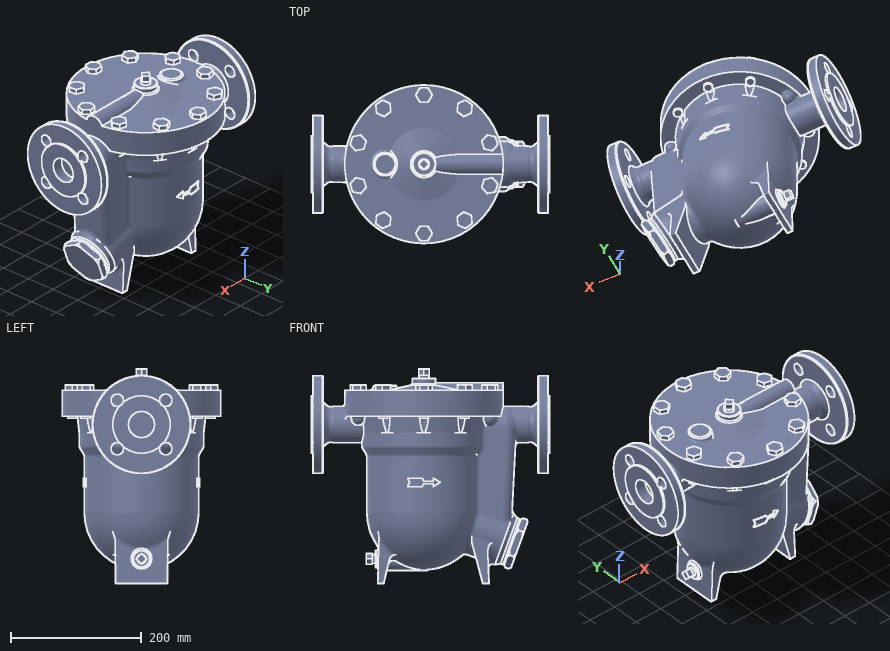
import cadquery as cq
import math


pipe_length = 366.0
pipe_mid_x = 10.0
pipe_dia = 56.0
bore_dia = 40.0
flange_dia = 150.0
flange_rim_step = 1.0
flange_thick = 14.0
flange_rim_thick = 2.0
raised_face_dia = 88.0
raised_face_height = 3.0
bore_depth = raised_face_height + flange_thick + flange_rim_thick
flange_bolt_circle = 105.0
flange_hole_dia = 19.0
flange_hole_count = 4
hub_root_radius = 34.0
hub_mid_radius = 30.0
hub_root_length = 4.5
hub_length = 15.0

body_radius = 88.0
neck_radius = 95.5
neck_top_radius = 98.7
cover_dia = 243.0
cover_radius = cover_dia / 2
cover_thick = 20.0
cover_top_z = 52.6
split_z = cover_top_z - cover_thick
body_flange_bottom_z = split_z - cover_thick
neck_mid_z = -12.9
neck_bottom_z = -34.5
shoulder_bottom_z = -47.0
shoulder_fillet = 6.0
dome_centre_z = -134.8

bolt_count = 10
bolt_circle_radius = 106.0
bolt_hex_across_flats = 22.0
bolt_head_height = 8.0
bolt_chamfer = 0.8
bolt_dia = 14.0
bolt_tip_length = 3.3
spotface_dia = 21.0
nozzle_lug_radius = 10.5
nozzle_lug_straight = 3.5
nozzle_lug_fillet = 3.0
body_flange_fillet = 4.0

cone_base_radius = 55.7
cone_top_radius = 20.5
cone_top_z = 60.3
collar_dia = 36.0
collar_base_z = 62.4
collar_top_z = 71.0
collar_chamfer = 1.0
plug_square = 11.84
plug_square_length = 9.5
vent_plug_dia = 16.0
vent_plug_top_z = 85.3
pad_x = -59.6
pad_dia = 36.0
pad_top_z = 60.5
pad_chamfer = 2.5
pad_base_radius = 24.0
bypass_radius = 16.0
bypass_top_z = 64.3

riser_half_width = 35.0
riser_arch_z = -6.8
riser_end_x = 141.6
riser_taper_deg = 2.9
riser_bottom_z = -165.0
riser_end_fillet = 15.0
riser_root_fillet = 8.0
outlet_root_fillet = 5.0

cleanout_tilt_deg = 20.0
cleanout_end_x = 133.7
cleanout_end_z = -179.5
cleanout_radius = 42.0
cleanout_rim_dia = 75.0
cleanout_rim_length = 4.0
cleanout_taper_length = 7.4
cleanout_root_depth = 75.0
cleanout_hex_across_flats = 70.0
cleanout_hex_height = 11.5
cleanout_hex_chamfer = 3.0
cleanout_washer_dia = 66.0
cleanout_washer_height = 2.0
cleanout_root_fillet = 8.0

foot_bottom_z = -243.8
inlet_foot_top_z = -165.0
foot_width = 80.0
foot_corner = 2.0
inlet_foot_root_fillet = 8.0
outlet_foot_root_fillet = 6.0
outlet_foot_mid_x = 92.0

drain_z = -205.8
drain_boss_dia = 36.0
drain_boss_end_x = 5.0
drain_collar_dia = 26.68
drain_collar_end_x = -74.7
drain_collar_chamfer = 1.0
drain_collar_flare = 2.5
drain_plug_dia = 14.0
drain_plug_end_x = -88.7
foot_outer_x = -71.0
foot_outer_slope = 2.5 / 79

arrow_length = 50.0
arrow_half_height = 6.6
arrow_stem_half_height = 2.0
arrow_tail_length = 25.0
arrow_head_length = 11.0
arrow_notch = 3.0
arrow_z = -88.6
arrow_raise = 1.2


def cylinder_z(radius, z_low, z_high, x=0.0, y=0.0):
    return cq.Workplane("XY", origin=(x, y, z_low)).circle(radius).extrude(z_high - z_low)


def cylinder_x(radius, x_low, x_high, z):
    return cq.Workplane("YZ", origin=(x_low, 0, z)).circle(radius).extrude(x_high - x_low)


def lies_on(face, box, point):
    """Whether a point lies on a face, checking the face's bounding box first."""
    touch = 0.01
    x, y, z = point.toTuple()
    inside = (
        box.xmin - touch < x < box.xmax + touch
        and box.ymin - touch < y < box.ymax + touch
        and box.zmin - touch < z < box.zmax + touch
    )
    return inside and face.distance(point) < touch


def seam_edges(solid, first, second, beyond_x=-math.inf):
    """Edges of a union that lie on faces of both of its parts, with centres past beyond_x."""
    sample = 0.37
    part_faces = [[(face, face.BoundingBox()) for face in part.faces().vals()] for part in (first, second)]
    seam = []
    for edge in solid.edges().vals():
        point = cq.Vertex.makeVertex(*edge.positionAt(sample).toTuple())
        on_both = all(any(lies_on(face, box, point) for face, box in faces) for faces in part_faces)
        if on_both and edge.Center().x > beyond_x:
            seam.append(edge)
    return seam


def fillet_edges(solid, edges, radius):
    return solid.newObject(edges).fillet(radius)


def gather(shapes):
    """Separate shapes as one compound, to be joined or cut in a single step."""
    return cq.Workplane(cq.Compound.makeCompound([shape.val() for shape in shapes]))


def hexagon(across_flats, height, chamfer, both_ends=False):
    """Hexagon along +Z from the origin, its corners turned off by a cone at the top."""
    corner_radius = across_flats / math.sqrt(3)
    prism = cq.Workplane("XY").polygon(6, 2 * corner_radius).extrude(height)
    turned = cq.Workplane("XY").circle(corner_radius).extrude(height).faces(">Z").chamfer(chamfer)
    if both_ends:
        turned = turned.faces("<Z").chamfer(chamfer)
    return prism.intersect(turned)


def make_body():
    """Neck, cylinder and hemispherical bottom, revolved about Z."""
    dome_mid = body_radius * math.sqrt(0.5)
    profile = (
        cq.Workplane("XZ")
        .moveTo(0, body_flange_bottom_z)
        .lineTo(neck_top_radius, body_flange_bottom_z)
        .lineTo(neck_radius, neck_mid_z)
        .lineTo(neck_radius, neck_bottom_z)
        .lineTo(body_radius, shoulder_bottom_z)
        .lineTo(body_radius, dome_centre_z)
        .threePointArc((dome_mid, dome_centre_z - dome_mid), (0, dome_centre_z - body_radius))
        .close()
    )
    body = profile.revolve(360, (0, 0, 0), (0, 1, 0))
    shoulder = cq.selectors.BoxSelector(
        (-neck_top_radius, -neck_top_radius, shoulder_bottom_z - 1),
        (neck_top_radius, neck_top_radius, neck_bottom_z + 1),
    )
    return body.edges(shoulder).edges("%CIRCLE").fillet(shoulder_fillet)


def make_riser():
    """Arched duct from the body to the outlet, with a tapered and rounded end."""
    width = 2 * riser_half_width
    duct = (
        cq.Workplane("YZ")
        .moveTo(-riser_half_width, riser_bottom_z)
        .lineTo(-riser_half_width, riser_arch_z)
        .threePointArc((0, riser_arch_z + riser_half_width), (riser_half_width, riser_arch_z))
        .lineTo(riser_half_width, riser_bottom_z)
        .close()
        .extrude(riser_end_x + riser_half_width)
    )
    slope = math.tan(math.radians(riser_taper_deg))
    top_z = riser_arch_z + riser_half_width
    top_x = riser_end_x + slope * riser_half_width
    bottom_x = riser_end_x - slope * (riser_arch_z - riser_bottom_z)
    side = (
        cq.Workplane("XZ", origin=(0, riser_half_width, 0))
        .polyline([(0, riser_bottom_z), (bottom_x, riser_bottom_z), (top_x, top_z), (0, top_z)])
        .close()
        .extrude(width)
    )
    duct = duct.intersect(side)
    return duct.faces(">X").edges("not <Z").fillet(riser_end_fillet)


def tilt_to_cleanout(shape):
    """Turn a shape built along +Z onto the clean-out axis, its origin at the boss end."""
    turned = shape.rotate((0, 0, 0), (0, 1, 0), 90 + cleanout_tilt_deg)
    return turned.translate((cleanout_end_x, 0, cleanout_end_z))


def make_cleanout_boss():
    rim_radius = cleanout_rim_dia / 2
    taper_top = -cleanout_rim_length
    taper_bottom = taper_top - cleanout_taper_length
    profile = (
        cq.Workplane("XZ")
        .polyline([
            (0, -cleanout_root_depth),
            (cleanout_radius, -cleanout_root_depth),
            (cleanout_radius, taper_bottom),
            (rim_radius, taper_top),
            (rim_radius, 0),
            (0, 0),
        ])
        .close()
    )
    return tilt_to_cleanout(profile.revolve(360, (0, 0, 0), (0, 1, 0)))


def make_cleanout_plug():
    washer = cylinder_z(cleanout_washer_dia / 2, 0, cleanout_washer_height)
    head = hexagon(cleanout_hex_across_flats, cleanout_hex_height, cleanout_hex_chamfer, both_ends=True)
    return tilt_to_cleanout(washer.union(head.translate((0, 0, cleanout_washer_height))))


def make_foot(points):
    foot = (
        cq.Workplane("XZ", origin=(0, foot_width / 2, 0)).polyline(points).close().extrude(foot_width)
    )
    return foot.faces("<Z").edges("|X").fillet(foot_corner)


def make_inlet_foot():
    return make_foot([
        (foot_outer_x, foot_bottom_z),
        (-61.5, foot_bottom_z),
        (-47, -180),
        (foot_outer_x + (inlet_foot_top_z - foot_bottom_z) * foot_outer_slope, inlet_foot_top_z),
    ])


def make_outlet_foot():
    return make_foot([(100, foot_bottom_z), (90, foot_bottom_z), (73, -180), (73, -165), (96, -165)])


def make_nozzle():
    """Inlet nozzle with its flange, revolved about the pipe axis and ending inside the body."""
    face_x = pipe_mid_x - pipe_length / 2
    front_x = face_x + raised_face_height
    step_x = front_x + flange_thick
    back_x = step_x + flange_rim_thick
    nozzle = (
        cq.Workplane("XY")
        .moveTo(face_x, 0)
        .lineTo(face_x, raised_face_dia / 2)
        .lineTo(front_x, raised_face_dia / 2)
        .lineTo(front_x, flange_dia / 2)
        .lineTo(step_x, flange_dia / 2)
        .lineTo(step_x, flange_dia / 2 - flange_rim_step)
        .lineTo(back_x, flange_dia / 2 - flange_rim_step)
        .lineTo(back_x, hub_root_radius)
        .lineTo(back_x + hub_root_length, hub_mid_radius)
        .tangentArcPoint((back_x + hub_length, pipe_dia / 2), relative=False)
        .lineTo(-body_radius + 20, pipe_dia / 2)
        .lineTo(-body_radius + 20, 0)
        .close()
        .revolve(360, (0, 0, 0), (1, 0, 0))
    )
    holes = (
        cq.Workplane("YZ", origin=(face_x, 0, 0))
        .polarArray(flange_bolt_circle / 2, 45, 360, flange_hole_count)
        .circle(flange_hole_dia / 2)
        .extrude(back_x - face_x)
    )
    return nozzle.cut(holes)


def mirror_along_pipe(shape):
    return shape.mirror("YZ", (pipe_mid_x, 0, 0))


def make_cover():
    """Cover disc with the low cone, collar, round pad and bypass tube."""
    cover = cylinder_z(cover_radius, split_z, cover_top_z)
    collar_radius = collar_dia / 2
    cone = (
        cq.Workplane("XZ")
        .polyline([
            (0, cover_top_z),
            (cone_base_radius, cover_top_z),
            (cone_top_radius, cone_top_z),
            (collar_radius, collar_base_z),
            (collar_radius, collar_top_z - collar_chamfer),
            (collar_radius - collar_chamfer, collar_top_z),
            (0, collar_top_z),
        ])
        .close()
        .revolve(360, (0, 0, 0), (0, 1, 0))
    )
    pad_radius = pad_dia / 2
    pad_flare = pad_base_radius - pad_radius
    pad = (
        cq.Workplane("XZ")
        .moveTo(0, cover_top_z)
        .lineTo(pad_base_radius, cover_top_z)
        .threePointArc(
            (pad_base_radius - pad_flare * math.sqrt(0.5), cover_top_z + pad_flare * (1 - math.sqrt(0.5))),
            (pad_radius, cover_top_z + pad_flare),
        )
        .lineTo(pad_radius - pad_chamfer, pad_top_z)
        .lineTo(0, pad_top_z)
        .close()
        .revolve(360, (0, 0, 0), (0, 1, 0))
        .translate((pad_x, 0, 0))
    )
    bypass = cylinder_x(bypass_radius, 0, cover_dia, bypass_top_z - bypass_radius)
    bypass = bypass.intersect(cylinder_z(cover_radius, split_z, bypass_top_z + 1))
    return cover.union(cone).union(pad).union(bypass)


def make_plug(stem_dia, length):
    """Square-headed plug standing on the origin along +Z, its square set on the diagonal."""
    stem_length = length - plug_square_length
    stem = cylinder_z(stem_dia / 2, 0, stem_length)
    square = (
        cq.Workplane("XY", origin=(0, 0, stem_length))
        .rect(plug_square, plug_square)
        .extrude(plug_square_length)
        .rotate((0, 0, 0), (0, 0, 1), 45)
    )
    return stem.union(square)


def make_drain():
    boss = cylinder_x(drain_boss_dia / 2, foot_outer_x + 5, drain_boss_end_x, drain_z)
    collar = cylinder_x(drain_collar_dia / 2, drain_collar_end_x, foot_outer_x + 5, drain_z)
    collar = collar.faces("<X").chamfer(drain_collar_chamfer)
    flare_x = foot_outer_x + (drain_z - foot_bottom_z) * foot_outer_slope - drain_collar_flare
    flare = (
        cq.Workplane("XY")
        .moveTo(flare_x, 0)
        .lineTo(flare_x, drain_collar_dia / 2)
        .lineTo(flare_x + 2 * drain_collar_flare, drain_collar_dia / 2 + 2 * drain_collar_flare)
        .lineTo(flare_x + 2 * drain_collar_flare, 0)
        .close()
        .revolve(360, (0, 0, 0), (1, 0, 0))
        .translate((0, 0, drain_z))
    )
    plug = make_plug(drain_plug_dia, drain_collar_end_x - drain_plug_end_x)
    plug = plug.rotate((0, 0, 0), (0, 1, 0), -90).translate((drain_collar_end_x, 0, drain_z))
    return boss.union(collar).union(flare).union(plug)


def make_arrow():
    """Raised flow arrow pointing to +X on both sides of the body."""
    tail_x = -arrow_length / 2
    tail_end_x = tail_x + arrow_tail_length
    head_x = arrow_length / 2 - arrow_head_length
    outline = [
        (tail_x, arrow_half_height),
        (tail_end_x - arrow_notch, arrow_half_height),
        (tail_end_x, arrow_stem_half_height),
        (head_x, arrow_stem_half_height),
        (head_x, arrow_half_height),
        (arrow_length / 2, 0),
    ]
    mirrored = [(x, -z) for x, z in reversed(outline[:-1])]
    prism = (
        cq.Workplane("XZ", origin=(0, 0, arrow_z))
        .polyline(outline + mirrored + [(tail_x + arrow_notch, 0)])
        .close()
        .extrude(2 * body_radius, both=True)
    )
    sleeve = cylinder_z(body_radius + arrow_raise, arrow_z - 10, arrow_z + 10)
    return prism.intersect(sleeve)


def bolt_angles():
    return [90 + i * 360 / bolt_count for i in range(bolt_count)]


def place_on_bolt_circle(shape, angle):
    return shape.translate((bolt_circle_radius, 0, 0)).rotate((0, 0, 0), (0, 0, 1), angle)


def beside_outlet(angle):
    turn = math.radians(angle)
    return abs(math.sin(turn)) * bolt_circle_radius < riser_half_width and math.cos(turn) > 0


def beside_inlet(angle):
    return beside_outlet(angle + 180)


def make_relief(angle):
    """Spotface that gives a bolt tip room beside the neck."""
    relief = cylinder_z(spotface_dia / 2, neck_bottom_z, body_flange_bottom_z)
    return place_on_bolt_circle(relief, angle)


def make_nozzle_lug(angle):
    """Round-ended lug that backs a bolt hole beside a nozzle."""
    ball_z = body_flange_bottom_z - nozzle_lug_straight
    lug = cylinder_z(nozzle_lug_radius, ball_z, split_z)
    ball = cq.Workplane("XY").sphere(nozzle_lug_radius).translate((0, 0, ball_z))
    return place_on_bolt_circle(lug.union(ball), angle)


def make_bolt(angle):
    head = hexagon(bolt_hex_across_flats, bolt_head_height, bolt_chamfer)
    head = head.rotate((0, 0, 0), (0, 0, 1), 30).translate((0, 0, cover_top_z))
    tip = cylinder_z(bolt_dia / 2, body_flange_bottom_z - bolt_tip_length, split_z)
    return place_on_bolt_circle(head.union(tip), angle)


def make_bore():
    face_x = pipe_mid_x - pipe_length / 2
    return cylinder_x(bore_dia / 2, face_x, face_x + bore_depth, 0)


def make_inlet(body_flange):
    """Body flange, inlet nozzle and its two lugs, blended together."""
    nozzle = make_nozzle()
    lugs = gather([make_nozzle_lug(angle) for angle in bolt_angles() if beside_inlet(angle)])
    inlet = nozzle.union(lugs)
    inlet = fillet_edges(inlet, seam_edges(inlet, lugs, nozzle), nozzle_lug_fillet).union(body_flange)
    return fillet_edges(inlet, seam_edges(inlet, body_flange, nozzle), body_flange_fillet)


def make_outlet(riser):
    """Riser, outlet nozzle and its two lugs, blended together."""
    nozzle = mirror_along_pipe(make_nozzle())
    outlet = riser.union(nozzle)
    end_seam = seam_edges(outlet, riser, nozzle, riser_end_x - 1.5 * riser_end_fillet)
    outlet = fillet_edges(outlet, end_seam, outlet_root_fillet)
    lugs = gather([make_nozzle_lug(angle) for angle in bolt_angles() if beside_outlet(angle)])
    outlet = outlet.union(lugs)
    return fillet_edges(outlet, seam_edges(outlet, lugs, riser), nozzle_lug_fillet)


def make_vessel(riser):
    """Body with the riser, clean-out boss and feet blended into it."""
    body = make_body()
    vessel = body.union(riser)
    vessel = fillet_edges(vessel, seam_edges(vessel, body, riser), riser_root_fillet)
    boss = make_cleanout_boss()
    vessel = vessel.union(boss)
    vessel = fillet_edges(vessel, seam_edges(vessel, body, boss), cleanout_root_fillet)
    inlet_foot = make_inlet_foot()
    vessel = vessel.union(inlet_foot)
    vessel = fillet_edges(vessel, seam_edges(vessel, body, inlet_foot), inlet_foot_root_fillet)
    outlet_foot = make_outlet_foot()
    vessel = vessel.union(outlet_foot)
    outer_seam = seam_edges(vessel, boss, outlet_foot, outlet_foot_mid_x)
    vessel = fillet_edges(vessel, outer_seam, outlet_foot_root_fillet)
    free_angles = [angle for angle in bolt_angles() if not beside_inlet(angle) and not beside_outlet(angle)]
    return vessel.cut(gather([make_relief(angle) for angle in free_angles]))


outlet_riser = make_riser()
flange_disc = cylinder_z(cover_radius, body_flange_bottom_z, split_z)
result = make_vessel(outlet_riser).union(make_outlet(outlet_riser)).union(make_inlet(flange_disc))
result = result.union(make_cover())
result = result.union(gather([make_bolt(angle) for angle in bolt_angles()]))
vent_plug = make_plug(vent_plug_dia, vent_plug_top_z - collar_top_z).translate((0, 0, collar_top_z))
result = result.union(gather([vent_plug, make_drain(), make_cleanout_plug()])).union(make_arrow())
result = result.cut(gather([make_bore(), mirror_along_pipe(make_bore())]))